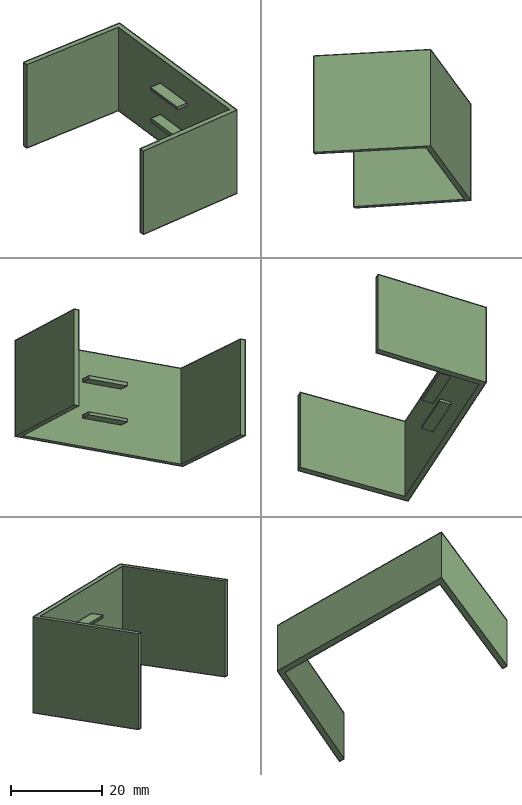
import cadquery as cq
import math

width = 43.5
depth = 26.0
height = 22.0
wall = 1.2
splay_angle = 1.0

rib_length = 9.75
rib_projection = 2.8
rib_thickness = 0.75
rib_spacing = 8.25
tip_radius = 1.65

back_y = depth / 2
open_y = -depth / 2
inner_back_y = back_y - wall

splay_slope = math.tan(math.radians(splay_angle))
open_half_width = width / 2
back_half_width = open_half_width - depth * splay_slope
inner_open_half_width = open_half_width - wall
inner_back_half_width = inner_open_half_width - (depth - wall) * splay_slope


def channel():
    """U-shaped channel with slightly splayed side walls."""
    return (
        cq.Workplane("XY")
        .workplane(offset=-height / 2)
        .polyline([
            (-back_half_width, back_y),
            (back_half_width, back_y),
            (open_half_width, open_y),
            (inner_open_half_width, open_y),
            (inner_back_half_width, inner_back_y),
            (-inner_back_half_width, inner_back_y),
            (-inner_open_half_width, open_y),
            (-open_half_width, open_y),
        ])
        .close()
        .extrude(height)
    )


def rib(side):
    """Rib along X whose tip curves back towards the wall on the edge facing the other rib.

    side is 1 for the upper rib and -1 for the lower rib.
    """
    outer_z = side * (rib_spacing + rib_thickness) / 2
    inner_z = side * (rib_spacing - rib_thickness) / 2
    tip_y = inner_back_y - rib_projection

    tip_angle = math.asin(rib_thickness / tip_radius)

    def tip_point(angle):
        setback = tip_radius * (1 - math.cos(angle))
        return tip_y + setback, outer_z - side * tip_radius * math.sin(angle)

    return (
        cq.Workplane("YZ")
        .moveTo(back_y, outer_z)
        .lineTo(tip_y, outer_z)
        .threePointArc(tip_point(tip_angle / 2), tip_point(tip_angle))
        .lineTo(back_y, inner_z)
        .close()
        .extrude(rib_length / 2, both=True)
    )


result = channel()
for side in (-1, 1):
    result = result.union(rib(side))